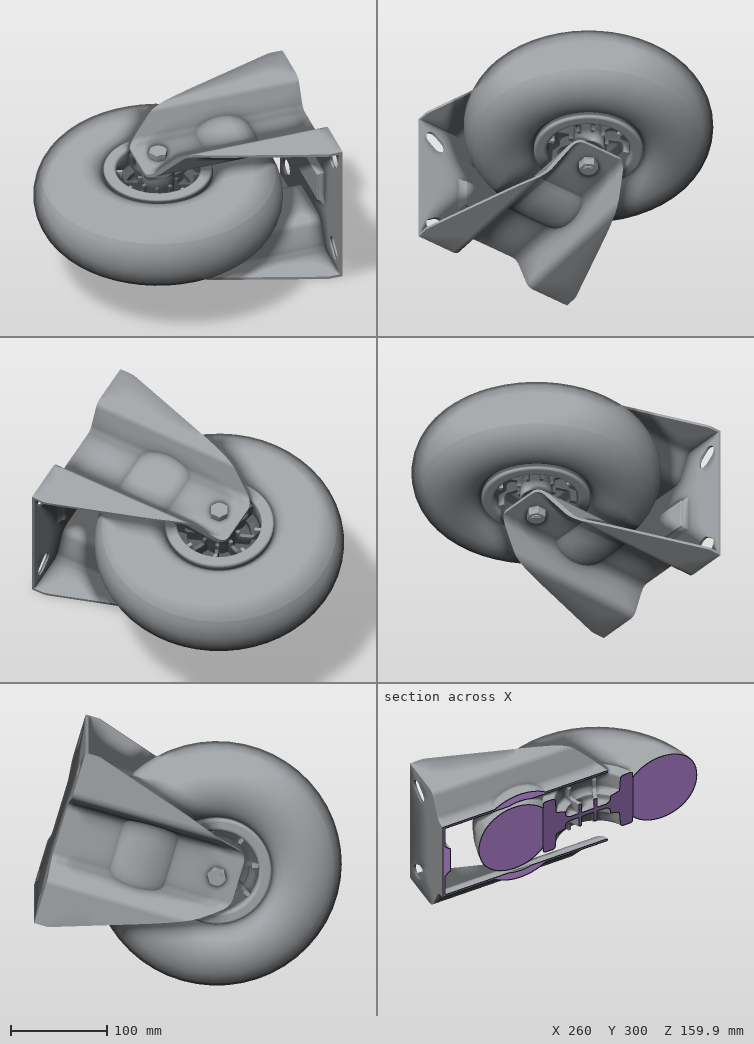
import cadquery as cq
import math


SHEET = 3.0
PLATE_Y = 170.0
PLATE_HALF_WIDTH = 95.0
FLANGE_Z = 79.93
CHANNEL_Z = 49.05
CHANNEL_FLOOR_HALF = 30.3
CHANNEL_MOUTH_HALF = 45.3
BEND_RADIUS = 10.0
SHOULDER_Y = 154.8
WAIST = (63.5, 59.5)
TIP = (29.0, -23.0)
SHOULDER_RADIUS = 20.0
TIP_RADIUS = 15.0

HUMP_Y = 79.2
HUMP_CHORD = 59.5
HUMP_RISE = 9.15
HUMP_HALF_LENGTH = 36.0
HUMP_RECESS_CHORD = 26.7
HUMP_RECESS_HALF_LENGTH = 22.5

SLOT_DIAMETER = 16.5
SLOT_SPACING = 9.3
SLOT_ANGLE = 36.5
SLOT_X = 75.3
SLOT_Z = 56.5
PAD_HALF_LENGTH = 46.5
PAD_HALF_HEIGHT = 21.0
PAD_SLOPE_RISE = 4.5
PAD_TOP_RISE = 2.0
PAD_TOP_FILLET = 1.5

TYRE_RADIUS = 130.0
TYRE_HALF_HEIGHT = 43.0
CREST_RADIUS = 88.8
SIDEWALL_RADIUS = 41.0
TREAD_EDGE_RADIUS = 122.5

RIM_RADIUS = 57.0
RIM_HALF_HEIGHT = 35.5
RIM_EDGE_RADIUS = 3.0
RIM_LIP_RADIUS = 3.5
RIM_INNER_RADIUS = 43.8
WEB_RADIUS = 29.0
WEB_HALF_THICKNESS = 3.0
WEB_FILLET = 4.8
SHELF_INNER = (34.0, 12.0)
SHELF_OUTER = (40.5, 14.5)
WALL_FILLET = 2.5
HUB_DIAMETER = 34.0
HUB_HALF_HEIGHT = 33.5
SLEEVE_DIAMETER = 25.0
RIB_COUNT = 8
RIB_WIDTH = 3.5
RIB_INNER_TOP = 22.0
RIB_INNER_END = 21.0
RIB_NOTCH_TOP = 15.5
RIB_NOTCH_FILLET = 4.5
RIB_OUTER_START = 37.0
RIB_OUTER_TOP = 28.8

BOLT_DIAMETER = 10.0
BOLT_HOLE_DIAMETER = 10.2
HEX_FLATS = 17.5
HEAD_HEIGHT = 7.8
NUT_HEIGHT = 9.5
NUT_COLLAR_DIAMETER = 12.0
NUT_COLLAR_HEIGHT = 1.2
BOLT_TIP_Z = -60.5
HEX_CHAMFER_ANGLE = 30.0

ARM_INNER_Z = CHANNEL_Z - SHEET
ARM_LENGTH = PLATE_Y - TIP[1]


def channel_block():
    """Full-length block with the outer channel profile above and below, wider than the plate."""
    side = PLATE_HALF_WIDTH + 2 * SHEET
    upper = [
        (side, FLANGE_Z), (CHANNEL_MOUTH_HALF, FLANGE_Z), (CHANNEL_FLOOR_HALF, CHANNEL_Z),
        (-CHANNEL_FLOOR_HALF, CHANNEL_Z), (-CHANNEL_MOUTH_HALF, FLANGE_Z), (-side, FLANGE_Z),
    ]
    lower = [(-x, -z) for x, z in upper]
    block = cq.Workplane("XZ", origin=(0, PLATE_Y, 0)).polyline(upper + lower).close().extrude(ARM_LENGTH)
    bends = cq.selectors.BoxSelector(
        (-side + SHEET, TIP[1], -2 * FLANGE_Z), (side - SHEET, PLATE_Y, 2 * FLANGE_Z)
    )
    return block.edges("|Y").edges(bends).fillet(BEND_RADIUS)


def arm_outline():
    """Solid of the arms' plan shape, tall enough to trim both arms."""
    waist_x, waist_y = WAIST
    tip_x, tip_y = TIP
    half = (
        cq.Workplane("XY", origin=(0, 0, -FLANGE_Z))
        .moveTo(0, PLATE_Y).lineTo(PLATE_HALF_WIDTH, PLATE_Y).lineTo(PLATE_HALF_WIDTH, SHOULDER_Y)
        .lineTo(waist_x, waist_y).tangentArcPoint(TIP, relative=False)
        .lineTo(0, tip_y).close().extrude(2 * FLANGE_Z)
    )
    shoulder = cq.selectors.NearestToPointSelector((PLATE_HALF_WIDTH, SHOULDER_Y, 0))
    half = half.edges(shoulder).fillet(SHOULDER_RADIUS)
    tip = cq.selectors.NearestToPointSelector((tip_x, tip_y, 0))
    half = half.edges(tip).fillet(TIP_RADIUS)
    return half.union(half.mirror("YZ"))


def hump_cylinder(radius, axis_z, half_length):
    return (
        cq.Workplane("YZ", origin=(-half_length, 0, 0))
        .center(HUMP_Y, axis_z).circle(radius).extrude(2 * half_length)
    )


def mirrored_pair(upper):
    return upper.union(upper.mirror("XY"))


def slot_cutters():
    cutters = cq.Workplane("XZ", origin=(0, PLATE_Y, 0))
    for side_x in (-1, 1):
        for side_z in (-1, 1):
            cutters = cutters.union(
                cq.Workplane("XZ", origin=(0, PLATE_Y, 0))
                .center(side_x * SLOT_X, side_z * SLOT_Z)
                .slot2D(SLOT_SPACING + SLOT_DIAMETER, SLOT_DIAMETER, side_x * side_z * SLOT_ANGLE)
                .extrude(SHEET)
            )
    return cutters


def make_pad():
    slope = (
        cq.Workplane("XZ", origin=(0, PLATE_Y - SHEET, 0))
        .rect(2 * PAD_HALF_LENGTH, 2 * PAD_HALF_HEIGHT).extrude(PAD_SLOPE_RISE, taper=45)
    )
    top = (
        cq.Workplane("XZ", origin=(0, PLATE_Y - SHEET - PAD_SLOPE_RISE, 0))
        .rect(2 * (PAD_HALF_LENGTH - PAD_SLOPE_RISE), 2 * (PAD_HALF_HEIGHT - PAD_SLOPE_RISE))
        .extrude(PAD_TOP_RISE).faces("<Y").edges().fillet(PAD_TOP_FILLET)
    )
    return slope.union(top)


def make_bracket():
    block = channel_block()
    profile = block.faces("<Y").val().outerWire()
    inside = cq.Workplane(cq.Solid.extrudeLinear(profile.offset2D(-SHEET)[0], [], cq.Vector(0, ARM_LENGTH, 0)))
    plate_cutoff = cq.Workplane("XY").box(4 * PLATE_Y, 2 * (PLATE_Y - SHEET), 4 * PLATE_Y)
    body = block.cut(inside.intersect(plate_cutoff))

    hump_radius = ((HUMP_CHORD / 2) ** 2 + HUMP_RISE ** 2) / (2 * HUMP_RISE)
    hump_axis_z = CHANNEL_Z + HUMP_RISE - hump_radius
    hump = hump_cylinder(hump_radius, hump_axis_z, HUMP_HALF_LENGTH).cut(block)
    upper_half = cq.Workplane("XY").box(4 * PLATE_Y, 4 * PLATE_Y, PLATE_Y, centered=(True, True, False))
    body = body.union(mirrored_pair(hump.intersect(upper_half)))
    recess_radius = math.hypot(HUMP_RECESS_CHORD / 2, ARM_INNER_Z - hump_axis_z)
    recess = hump_cylinder(recess_radius, hump_axis_z, HUMP_RECESS_HALF_LENGTH).intersect(upper_half)
    body = body.cut(mirrored_pair(recess))

    body = body.intersect(arm_outline()).cut(slot_cutters())
    bolt_hole = cq.Workplane("XY").circle(BOLT_HOLE_DIAMETER / 2).extrude(FLANGE_Z, both=True)
    return body.cut(bolt_hole).union(make_pad())


def make_tyre():
    sidewall_z = TYRE_HALF_HEIGHT - SIDEWALL_RADIUS

    def on_sidewall(radius):
        return (radius, sidewall_z + math.sqrt(SIDEWALL_RADIUS ** 2 - (radius - CREST_RADIUS) ** 2))

    inner_edge = on_sidewall(RIM_RADIUS)
    tread_edge = on_sidewall(TREAD_EDGE_RADIUS)
    return (
        cq.Workplane("XZ")
        .moveTo(RIM_RADIUS, -inner_edge[1]).lineTo(*inner_edge)
        .threePointArc((CREST_RADIUS, TYRE_HALF_HEIGHT), tread_edge)
        .threePointArc((TYRE_RADIUS, 0), (TREAD_EDGE_RADIUS, -tread_edge[1]))
        .threePointArc((CREST_RADIUS, -TYRE_HALF_HEIGHT), (RIM_RADIUS, -inner_edge[1]))
        .close().revolve(360, (0, 0, 0), (0, 1, 0))
    )


def make_rib(angle):
    """Radial rib on the upper side of the web, low in the middle."""
    root = HUB_DIAMETER / 2 - SHEET / 2
    tip = RIM_INNER_RADIUS
    profile = [
        (root, 0), (root, RIB_INNER_TOP), (RIB_INNER_END, RIB_INNER_TOP), (RIB_INNER_END, RIB_NOTCH_TOP),
        (RIB_OUTER_START, RIB_NOTCH_TOP), (RIB_OUTER_START, RIB_OUTER_TOP), (tip, RIB_OUTER_TOP), (tip, 0),
    ]
    rib = cq.Workplane("XZ").polyline(profile).close().extrude(RIB_WIDTH / 2, both=True)
    notch_corner = cq.selectors.NearestToPointSelector((RIB_OUTER_START, 0, RIB_NOTCH_TOP))
    return rib.edges("|Y").edges(notch_corner).fillet(RIB_NOTCH_FILLET).rotate((0, 0, 0), (0, 0, 1), angle)


def make_rim():
    hub_radius = HUB_DIAMETER / 2
    sleeve_radius = SLEEVE_DIAMETER / 2
    bore_radius = BOLT_HOLE_DIAMETER / 2
    upper = (
        cq.Workplane("XZ")
        .moveTo(bore_radius, 0).lineTo(bore_radius, ARM_INNER_Z).lineTo(sleeve_radius, ARM_INNER_Z)
        .lineTo(sleeve_radius, HUB_HALF_HEIGHT).lineTo(hub_radius, HUB_HALF_HEIGHT)
        .lineTo(hub_radius, WEB_HALF_THICKNESS).lineTo(WEB_RADIUS, WEB_HALF_THICKNESS)
        .radiusArc((WEB_RADIUS + WEB_FILLET, WEB_HALF_THICKNESS + WEB_FILLET), -WEB_FILLET)
        .lineTo(*SHELF_INNER).lineTo(*SHELF_OUTER)
        .radiusArc((SHELF_OUTER[0] + WALL_FILLET, SHELF_OUTER[1] + WALL_FILLET), -WALL_FILLET)
        .lineTo(RIM_INNER_RADIUS, RIM_HALF_HEIGHT - RIM_LIP_RADIUS)
        .radiusArc((RIM_INNER_RADIUS + RIM_LIP_RADIUS, RIM_HALF_HEIGHT), RIM_LIP_RADIUS)
        .lineTo(RIM_RADIUS - RIM_EDGE_RADIUS, RIM_HALF_HEIGHT)
        .radiusArc((RIM_RADIUS, RIM_HALF_HEIGHT - RIM_EDGE_RADIUS), RIM_EDGE_RADIUS)
        .lineTo(RIM_RADIUS, 0).close().revolve(360, (0, 0, 0), (0, 1, 0))
    )
    rib_pitch = 360 / RIB_COUNT
    for index in range(RIB_COUNT):
        upper = upper.union(make_rib((index + 0.5) * rib_pitch))
    return mirrored_pair(upper)


def make_hexagon(height):
    """Hexagonal prism standing on Z = 0 with its top corners chamfered."""
    corner_radius = HEX_FLATS / math.sqrt(3)
    flat_radius = HEX_FLATS / 2
    drop = (corner_radius - flat_radius) * math.tan(math.radians(HEX_CHAMFER_ANGLE))
    prism = cq.Workplane("XY").polygon(6, 2 * corner_radius).extrude(height).rotate((0, 0, 0), (0, 0, 1), 30)
    cone = (
        cq.Workplane("XZ")
        .polyline([(0, 0), (corner_radius, 0), (corner_radius, height - drop), (flat_radius, height), (0, height)])
        .close().revolve(360, (0, 0, 0), (0, 1, 0))
    )
    return prism.intersect(cone)


def make_bolt():
    head = make_hexagon(HEAD_HEIGHT).translate((0, 0, CHANNEL_Z))
    shank = (
        cq.Workplane("XY", origin=(0, 0, BOLT_TIP_Z))
        .circle(BOLT_DIAMETER / 2).extrude(CHANNEL_Z - BOLT_TIP_Z)
    )
    return head.union(shank)


def make_nut():
    collar = cq.Workplane("XY").circle(NUT_COLLAR_DIAMETER / 2).extrude(NUT_HEIGHT + NUT_COLLAR_HEIGHT)
    bore = cq.Workplane("XY").circle(BOLT_DIAMETER / 2).extrude(NUT_HEIGHT + NUT_COLLAR_HEIGHT)
    nut = make_hexagon(NUT_HEIGHT).union(collar).cut(bore)
    return nut.rotate((0, 0, 0), (1, 0, 0), 180).translate((0, 0, -CHANNEL_Z))


bracket = make_bracket()
tyre = make_tyre()
rim = make_rim()
bolt = make_bolt()
nut = make_nut()
result = cq.Compound.makeCompound([bracket.val(), tyre.val(), rim.val(), bolt.val(), nut.val()])